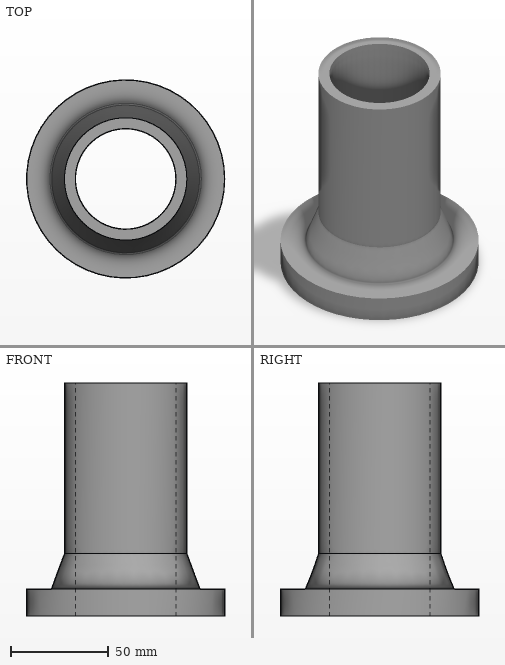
import cadquery as cq

total_height = 120.0
flange_diameter = 102.0
flange_thickness = 13.8
pipe_diameter = 63.0
bore_diameter = 51.6

neck_base_diameter = 76.5
neck_top_height = 32.2
neck_fillet_radius = 1.0

flange_radius = flange_diameter / 2
pipe_radius = pipe_diameter / 2
bore_radius = bore_diameter / 2
neck_base_radius = neck_base_diameter / 2

half_section = (
    cq.Workplane("XZ")
    .moveTo(bore_radius, 0)
    .lineTo(flange_radius, 0)
    .lineTo(flange_radius, flange_thickness)
    .lineTo(neck_base_radius, flange_thickness)
    .lineTo(pipe_radius, neck_top_height)
    .lineTo(pipe_radius, total_height)
    .lineTo(bore_radius, total_height)
    .close()
)
body = half_section.revolve(360, (0, 0, 0), (0, 1, 0))

neck_root = cq.selectors.RadiusNthSelector(-2)
result = body.edges(neck_root).fillet(neck_fillet_radius)